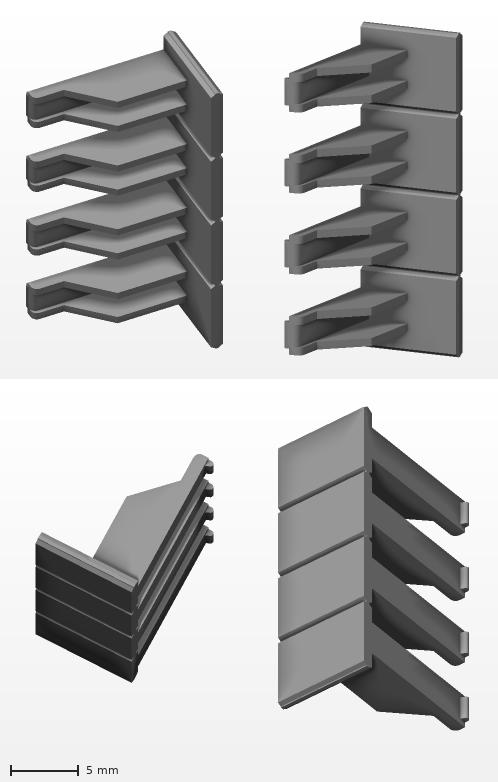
import cadquery as cq
import math

module_count = 4
module_pitch = 6.1
strip_height = module_count * module_pitch

plate_width = 8.0
plate_thickness = 1.0

groove_half_mouth = 0.27
groove_floor_radius = 0.11
groove_flank_angle = math.radians(30)

arm_length = 12.1
arm_height = 2.9
arm_root_width = 3.95
arm_tip_width = 1.0
arm_taper_start = 6.65
arm_taper_end = arm_taper_start + arm_root_width - arm_tip_width
web_thickness = 0.7
channel_height = 1.7
tip_radius = 0.51

hook_height = 2.0
hook_reach = 0.5
hook_nose_radius = 0.22
hook_shoulder_angle = math.radians(20)
hook_root_radius = 0.1


def groove_cutter():
    """Break groove in the back face at Z = 0, running along X."""
    flank_cos = math.cos(groove_flank_angle)
    flank_sin = math.sin(groove_flank_angle)
    radius = groove_floor_radius
    center_depth = (groove_half_mouth - radius / flank_cos) / math.tan(groove_flank_angle)
    tangent_depth = center_depth + radius * flank_sin
    tangent_half_height = radius * flank_cos
    return (
        cq.Workplane("YZ")
        .moveTo(0, groove_half_mouth)
        .lineTo(-tangent_depth, tangent_half_height)
        .threePointArc((-center_depth - radius, 0), (-tangent_depth, -tangent_half_height))
        .lineTo(0, -groove_half_mouth)
        .close()
        .extrude(plate_width)
    )


def grooved_plate():
    plate = cq.Workplane("XY").box(
        plate_width, plate_thickness, strip_height, centered=(False, False, True)
    ).translate((0, -plate_thickness, 0))
    back_groove = groove_cutter()
    front_groove = back_groove.mirror("XZ").translate((0, -plate_thickness, 0))
    for boundary in range(module_count + 1):
        boundary_z = boundary * module_pitch - strip_height / 2
        plate = plate.cut(back_groove.translate((0, 0, boundary_z)))
        plate = plate.cut(front_groove.translate((0, 0, boundary_z)))
    return plate


def channel_arm():
    """Arm centred on Z = 0, reaching from the plate's front face to the tip."""
    arm = (
        cq.Workplane("XY")
        .moveTo(0, -plate_thickness)
        .lineTo(arm_root_width, -plate_thickness)
        .lineTo(arm_root_width, -arm_taper_start)
        .lineTo(arm_tip_width, -arm_taper_end)
        .lineTo(arm_tip_width, tip_radius - arm_length)
        .radiusArc((arm_tip_width - tip_radius, -arm_length), tip_radius)
        .lineTo(0, -arm_length)
        .close()
        .extrude(arm_height / 2, both=True)
    )
    channel = (
        cq.Workplane("XY")
        .moveTo(web_thickness, -plate_thickness)
        .lineTo(web_thickness, tip_radius - arm_length)
        .radiusArc((web_thickness - tip_radius, -arm_length), tip_radius)
        .lineTo(arm_root_width, -arm_length)
        .lineTo(arm_root_width, -plate_thickness)
        .close()
        .extrude(channel_height / 2, both=True)
    )
    return arm.cut(channel)


def snap_hook():
    """Round-nosed catch with a sloped shoulder, flush with the arm tip and filleted into the web."""
    slope_cos = math.cos(hook_shoulder_angle)
    slope_sin = math.sin(hook_shoulder_angle)
    slope_tan = math.tan(hook_shoulder_angle)
    nose_x = hook_nose_radius - hook_reach
    nose_y = hook_nose_radius - arm_length
    shoulder_x = nose_x - hook_nose_radius * slope_sin
    shoulder_y = nose_y + hook_nose_radius * slope_cos
    fillet_x = -hook_root_radius
    fillet_y = shoulder_y + (fillet_x - shoulder_x) * slope_tan + hook_root_radius / slope_cos
    fillet_start = (fillet_x + hook_root_radius * slope_sin, fillet_y - hook_root_radius * slope_cos)
    return (
        cq.Workplane("XY")
        .moveTo(0, -arm_length)
        .lineTo(nose_x, -arm_length)
        .threePointArc((-hook_reach, nose_y), (shoulder_x, shoulder_y))
        .lineTo(*fillet_start)
        .radiusArc((0, fillet_y), -hook_root_radius)
        .close()
        .extrude(hook_height / 2, both=True)
    )


hooked_arm = channel_arm().union(snap_hook())
result = grooved_plate()
for module in range(module_count):
    module_center_z = (module + 0.5) * module_pitch - strip_height / 2
    result = result.union(hooked_arm.translate((0, 0, module_center_z)))